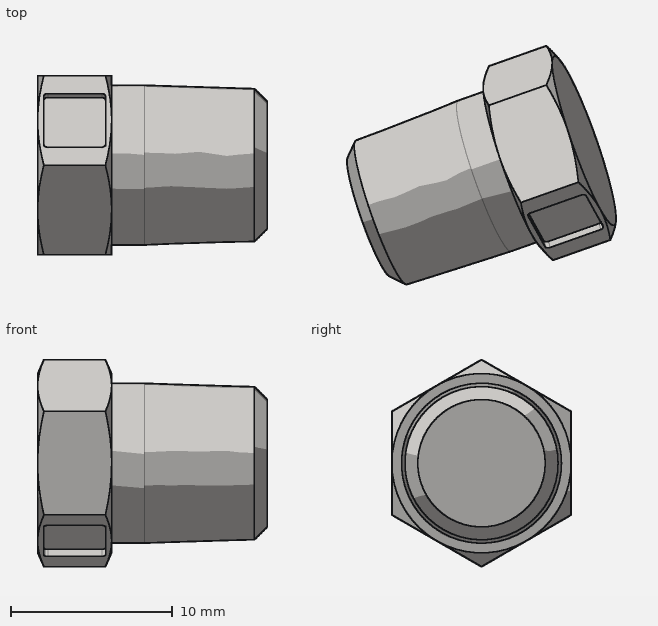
import cadquery as cq
import math

total_length = 14.22

across_flats = 11.1
across_corners = across_flats / math.cos(math.radians(30))
head_length = 4.58
corner_chamfer_length = 0.38

collar_diameter = 9.91
collar_end = 6.58
taper_ratio = 1 / 16
tip_chamfer = 0.8

panel_size = 3.84
panel_depth = 0.5
panel_corner_radius = 0.24
panel_flat_angles = (60, 240)


def make_head():
    """Hexagonal prism with flats on +Y and -Y, corners chamfered at both ends."""
    prism = (
        cq.Workplane("YZ")
        .polygon(6, across_corners)
        .extrude(head_length)
        .rotate((0, 0, 0), (1, 0, 0), 30)
    )
    face_radius = across_flats / 2
    corner_radius = across_corners / 2
    chamfer_envelope = (
        cq.Workplane("XY")
        .moveTo(0, 0)
        .lineTo(0, face_radius)
        .lineTo(corner_chamfer_length, corner_radius)
        .lineTo(head_length - corner_chamfer_length, corner_radius)
        .lineTo(head_length, face_radius)
        .lineTo(head_length, 0)
        .close()
        .revolve(360, (0, 0, 0), (1, 0, 0))
    )
    return prism.intersect(chamfer_envelope)


def make_shank():
    """Collar, taper and tip chamfer, revolved about X from the middle of the head."""
    collar_radius = collar_diameter / 2
    taper_end = total_length - tip_chamfer
    taper_end_radius = collar_radius - (taper_end - collar_end) * taper_ratio / 2
    shank_start = head_length / 2
    return (
        cq.Workplane("XY")
        .moveTo(shank_start, 0)
        .lineTo(shank_start, collar_radius)
        .lineTo(collar_end, collar_radius)
        .lineTo(taper_end, taper_end_radius)
        .lineTo(total_length, taper_end_radius - tip_chamfer)
        .lineTo(total_length, 0)
        .close()
        .revolve(360, (0, 0, 0), (1, 0, 0))
    )


def make_panel_recess(flat_angle):
    """Rounded square cutter, centred on the flat facing flat_angle."""
    angle = math.radians(flat_angle)
    outward = cq.Vector(0, math.cos(angle), math.sin(angle))
    flat_centre = cq.Vector(head_length / 2, 0, 0) + outward * (across_flats / 2)
    flat_plane = cq.Plane(origin=flat_centre, xDir=(1, 0, 0), normal=outward)
    return (
        cq.Workplane(flat_plane)
        .rect(panel_size, panel_size)
        .extrude(-panel_depth)
        .edges(cq.selectors.ParallelDirSelector(outward))
        .fillet(panel_corner_radius)
    )


result = make_head().union(make_shank())
for panel_angle in panel_flat_angles:
    result = result.cut(make_panel_recess(panel_angle))